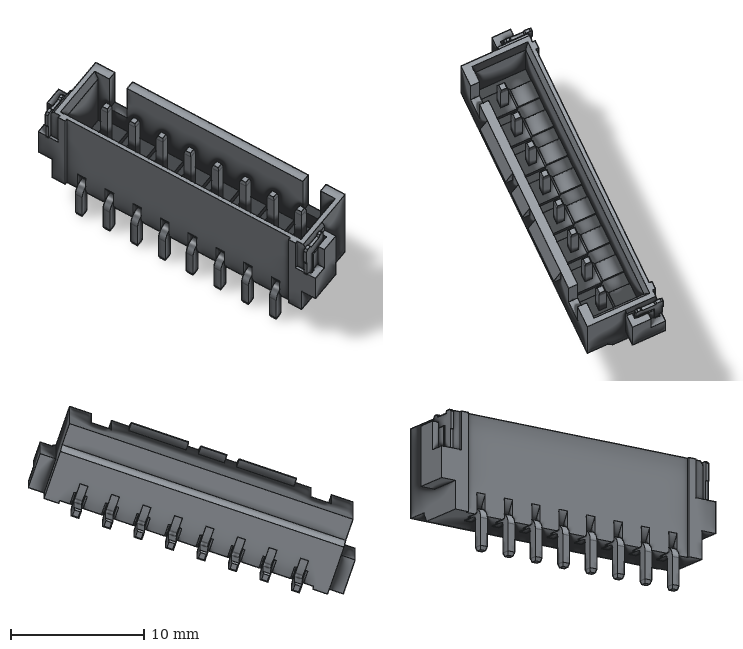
import cadquery as cq
import math


root = 0.25

housing_half_length = 11.25
housing_height = 7.8
housing_back = 5.9
front_recess = 0.22
front_recess_half_length = 10.08
back_bottom = 0.75
slope_back = 4.2
slope_front = 3.8

cavity_half_length = 10.52
cavity_front = 0.88
cavity_back = 5.15
cavity_lead_in = 0.32
cavity_lead_in_depth = 0.7
cavity_floor = 2.0
seat_width, seat_front, seat_top = 1.8, 2.65, 2.5
seat_chamfer = 0.18
pad_width, pad_top = 1.45, 2.25

window_inner, window_outer = 7.92, 9.52
window_sill = 4.15

latch_depth = 0.6
latch_bottom, latch_nose_top = 6.02, 6.32
latch_centre_half_width = 1.02
latch_side_inner, latch_side_outer = 2.0, 6.55

ear_outer = 12.5
ear_bottom, ear_top, ear_back = 2.25, 7.0, 2.75
ear_wall = 0.55
ear_shelf = 4.75
ear_front = 1.2
shelf_inner = 10.7
cheek_outer, cheek_slope_bottom = 11.5, 7.5
ear_slot_back = 2.3
shelf_slot_front, shelf_slot_back = 0.2, 0.65

clip_inner, clip_outer = 11.52, 11.78
clip_front, clip_step, clip_back = -0.15, -0.08, 2.12
clip_top, clip_step_height = 7.75, 6.2
clip_corner = 0.18
clip_notch_front, clip_notch_back = 0.4, 1.7
clip_notch_depth, clip_notch_slope = 0.2, 0.12
clip_pad_outer = 11.88
clip_pad_front, clip_pad_top, clip_pad_bevel = 0.6, 6.6, 0.062
clip_foot_front = 0.12
clip_embed = 0.5

pin_count = 8
pin_pitch = 2.5
pin_width = 0.62
post_y, post_top = 3.6, 6.75
tip_width, tip_length = 0.45, 0.3
leg_front, leg_thickness = -0.15, 0.68
leg_bottom = -2.8
foot_bottom = -0.05
bend_inner_radius = 0.25
foot_end = 1.95
pin_slot_width, pin_slot_height, pin_slot_depth = 0.75, 1.72, 0.95
slot_mouth_chamfer = 0.15

pin_positions = [(i - (pin_count - 1) / 2) * pin_pitch for i in range(pin_count)]


def block(x_min, x_max, y_min, y_max, z_min, z_max):
    """Axis-aligned box given by its limits."""
    size = (x_max - x_min, y_max - y_min, z_max - z_min)
    return cq.Workplane("XY").box(*size, centered=False).translate((x_min, y_min, z_min))


def side_prism(points, x_min, x_max):
    """Prism along X from an outline of (y, z) points."""
    return cq.Workplane("YZ", origin=(x_min, 0, 0)).polyline(points).close().extrude(x_max - x_min)


def both_ends(body):
    """The body together with its mirror image at the other end."""
    return body.union(body.mirror("YZ"))


def make_shell():
    """Solid housing body, recessed along the front between the end flanges."""
    outline = [
        (0, 0), (slope_front, 0), (slope_back, back_bottom), (housing_back, back_bottom),
        (housing_back, housing_height), (0, housing_height),
    ]
    shell = side_prism(outline, -housing_half_length, housing_half_length)
    return shell.cut(block(-front_recess_half_length, front_recess_half_length,
                           0, front_recess, 0, housing_height))


def make_cavity():
    """Open-topped space for the mating plug."""
    cavity = block(-cavity_half_length, cavity_half_length, cavity_front, cavity_back,
                   cavity_floor, housing_height)
    rim_front = cavity_front - cavity_lead_in
    rim_half_length = cavity_half_length + cavity_lead_in
    lead_bottom = housing_height - cavity_lead_in_depth
    mouth = (
        cq.Workplane("XY", origin=(0, (cavity_front + cavity_back) / 2, lead_bottom))
        .rect(2 * cavity_half_length, cavity_back - cavity_front)
        .workplane(offset=cavity_lead_in_depth)
        .center(0, -cavity_lead_in / 2)
        .rect(2 * rim_half_length, cavity_back - rim_front)
        .loft(ruled=True)
    )
    return cavity.union(mouth)


def make_seat(x):
    """Raised pin seat on the cavity floor with a low pad in front of it."""
    seat = block(x - seat_width / 2, x + seat_width / 2, seat_front, cavity_back,
                 cavity_floor - root, seat_top)
    seat = seat.faces("<Y").edges("not <Z").chamfer(seat_chamfer)
    pad = block(x - pad_width / 2, x + pad_width / 2, cavity_front, seat_front + seat_chamfer,
                cavity_floor - root, pad_top)
    return seat.union(pad)


def make_latch(x_min, x_max):
    """Wedge on the back wall with a flat underside for the plug latch."""
    outline = [
        (housing_back - root, latch_bottom), (housing_back + latch_depth, latch_bottom),
        (housing_back + latch_depth, latch_nose_top), (housing_back, housing_height),
        (housing_back - root, housing_height),
    ]
    return side_prism(outline, x_min, x_max)


def make_cheek():
    """Thickened end wall behind the clip, sloped back to the housing at its top."""
    outline = [
        (-housing_half_length, ear_bottom), (-cheek_outer, ear_bottom), (-cheek_outer, cheek_slope_bottom),
        (-housing_half_length, housing_height),
    ]
    return cq.Workplane("XZ").polyline(outline).close().extrude(-ear_back)


def make_ear():
    """Side ear with a clip slot behind a hooked outer wall and a recess in its shelf."""
    base = block(-ear_outer, -housing_half_length, 0, ear_back, ear_bottom, ear_shelf)
    hook = block(-ear_outer, -housing_half_length, ear_front, ear_back, ear_shelf, ear_top)
    clip_slot = block(-ear_outer + ear_wall, -cheek_outer, ear_front, ear_slot_back, ear_shelf, ear_top)
    shelf_slot = block(-ear_outer + ear_wall, -clip_outer, shelf_slot_front, shelf_slot_back,
                       ear_shelf - clip_embed, ear_shelf)
    return base.union(hook).cut(clip_slot).cut(shelf_slot)


def make_clip():
    """Upright sheet-metal clip with a notched top edge and a raised outer pad."""
    foot = ear_shelf - clip_embed
    notch_bottom = clip_top - clip_notch_depth
    outline = [
        (clip_foot_front, foot), (clip_foot_front, ear_shelf), (clip_step, ear_shelf),
        (clip_step, clip_step_height), (clip_front, clip_step_height), (clip_front, clip_top - clip_corner),
        (clip_front + clip_corner, clip_top), (clip_notch_front, clip_top),
        (clip_notch_front + clip_notch_slope, notch_bottom),
        (clip_notch_back - clip_notch_slope, notch_bottom), (clip_notch_back, clip_top),
        (clip_back - clip_corner, clip_top), (clip_back, clip_top - clip_corner), (clip_back, foot),
    ]
    plate = side_prism(outline, -clip_outer, -clip_inner)
    pad = block(-clip_pad_outer, -clip_outer, clip_pad_front, clip_back, foot, clip_pad_top)
    pad = pad.faces("<X").edges("<Y").chamfer(clip_pad_bevel)
    return plate.union(pad)


def make_pin_slot(x):
    """Wedge-shaped slot in the lower front edge with a sloping roof and a flared mouth."""
    slot_back = front_recess + pin_slot_depth
    roof = [(front_recess, 0), (slot_back, 0), (front_recess, pin_slot_height)]
    slot = side_prism(roof, x - pin_slot_width / 2, x + pin_slot_width / 2)
    mouth_half = pin_slot_width / 2 + slot_mouth_chamfer
    mouth = (
        cq.Workplane("XZ", origin=(0, front_recess, 0))
        .polyline([(x - mouth_half, 0), (x, mouth_half), (x + mouth_half, 0)])
        .close()
        .extrude(-pin_slot_depth)
        .intersect(block(x - mouth_half, x + mouth_half, front_recess, slot_back, 0, slot_mouth_chamfer))
    )
    return slot.union(mouth)


def make_tip(x, y, thickness, z_end, direction):
    """Tapered pin end that points up (direction 1) or down (direction -1) and stops at z_end."""
    return (
        cq.Workplane("XY", origin=(x, y, z_end - direction * tip_length))
        .rect(pin_width, thickness)
        .workplane(offset=direction * tip_length)
        .rect(tip_width, tip_width)
        .loft(ruled=True)
    )


def make_post(x):
    """Square contact post standing in the cavity."""
    half = pin_width / 2
    post = block(x - half, x + half, post_y - half, post_y + half,
                 cavity_floor, post_top - tip_length)
    return post.union(make_tip(x, post_y, pin_width, post_top, 1))


def make_leg(x):
    """Board pin: a short foot under the housing bent down into a vertical leg."""
    foot_top = foot_bottom + leg_thickness
    leg_back = leg_front + leg_thickness
    tip_base = leg_bottom + tip_length
    outer_radius = bend_inner_radius + leg_thickness
    bend_centre = (leg_back + bend_inner_radius, foot_bottom - bend_inner_radius)

    def bend_middle(radius):
        offset = radius * math.sqrt(0.5)
        return bend_centre[0] - offset, bend_centre[1] + offset

    leg = (
        cq.Workplane("YZ", origin=(x - pin_width / 2, 0, 0))
        .moveTo(foot_end, foot_top)
        .lineTo(bend_centre[0], foot_top)
        .threePointArc(bend_middle(outer_radius), (leg_front, bend_centre[1]))
        .lineTo(leg_front, tip_base)
        .lineTo(leg_back, tip_base)
        .lineTo(leg_back, bend_centre[1])
        .threePointArc(bend_middle(bend_inner_radius), (bend_centre[0], foot_bottom))
        .lineTo(foot_end, foot_bottom)
        .close()
        .extrude(pin_width)
    )
    return leg.union(make_tip(x, (leg_front + leg_back) / 2, leg_thickness, leg_bottom, -1))


result = make_shell().cut(make_cavity())
result = result.cut(both_ends(block(window_inner, window_outer, cavity_back, housing_back,
                                    window_sill, housing_height)))

result = result.union(make_latch(-latch_centre_half_width, latch_centre_half_width))
result = result.union(both_ends(make_latch(latch_side_inner, latch_side_outer)))

corner_relief = block(-ear_outer, -shelf_inner, 0, front_recess, ear_shelf, housing_height)
end_details = make_cheek().union(make_ear())
result = result.union(both_ends(end_details)).cut(both_ends(corner_relief))
result = result.union(both_ends(make_clip()))

for x in pin_positions:
    result = result.cut(make_pin_slot(x))
    for feature in (make_seat(x), make_post(x), make_leg(x)):
        result = result.union(feature)